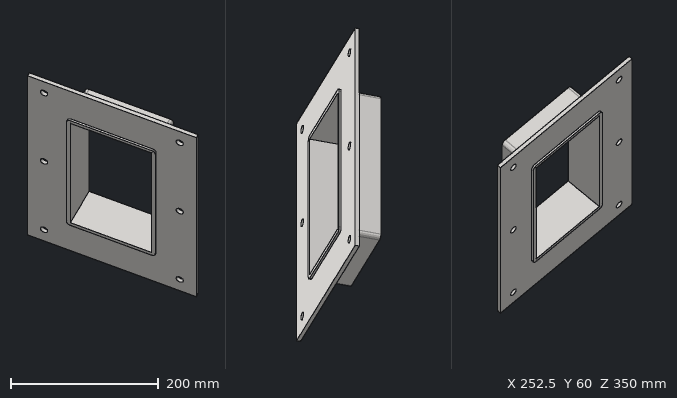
import cadquery as cq

plate_width = 252.5
plate_height = 350
plate_thickness = 6.0

duct_width = 132.5
duct_height = 230.0
duct_length = 60.0
duct_wall = 6.0
duct_corner_radius = duct_wall
duct_front_lip = 3.0

hole_diameter = 10.5
hole_edge_distance = 25.0
hole_column_x = plate_width / 2 - hole_edge_distance
hole_row_z = plate_height / 2 - hole_edge_distance


def block(width, length, height, front_y):
    """Box centred on X and Z that extends from front_y towards +Y."""
    return cq.Workplane("XY").box(width, length, height).translate((0, front_y + length / 2, 0))


plate = block(plate_width, plate_thickness, plate_height, 0)
hole_centers = [(x, z) for x in (-hole_column_x, hole_column_x) for z in (-hole_row_z, 0, hole_row_z)]
bolt_holes = (
    cq.Workplane("XZ")
    .pushPoints(hole_centers)
    .circle(hole_diameter / 2)
    .extrude(-plate_thickness)
)

duct = block(duct_width, duct_length, duct_height, -duct_front_lip).edges("|Y").fillet(duct_corner_radius)
opening = block(duct_width - 2 * duct_wall, duct_length, duct_height - 2 * duct_wall, -duct_front_lip)

result = plate.cut(bolt_holes).union(duct).cut(opening)